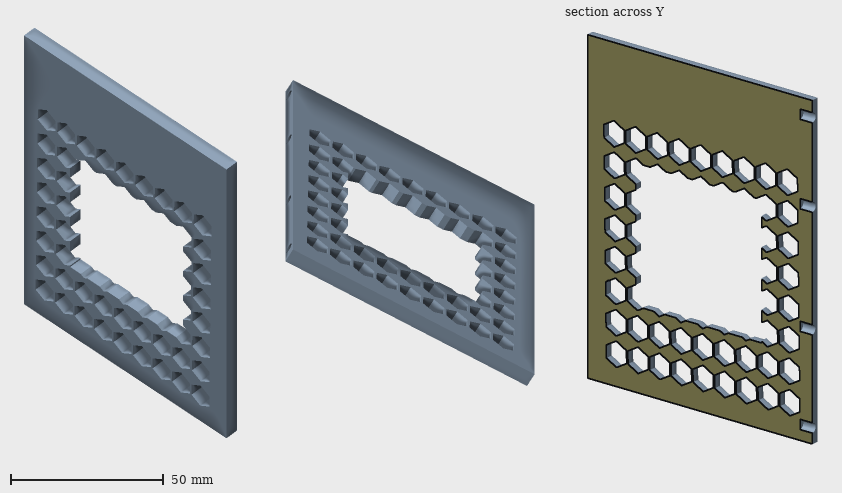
import cadquery as cq
import math

plate_width = 91.5
plate_thickness = 5.0
plate_height = 123.0

hex_sides = 6
hex_across_flats = 8.0
hex_columns = 9
hex_rows = 8
column_pitch = 8.81
row_pitch = 11.225
grid_tilt = -0.7
first_hex_x = -35.52
first_hex_z = 29.57

window_size = 51.0
window_center_x = 0.6
window_center_z = -5.0

edge_hole_diameter = 3.5
edge_hole_depth = 5.0
edge_hole_centers = (
    (0.3, 55.25),
    (0.3, 23.25),
    (0.5, -20.6),
    (0.3, -55.7),
)

cut_clearance = 1.0


def make_plate():
    return cq.Workplane("XY").box(plate_width, plate_thickness, plate_height)


def through_profile():
    """Workplane in front of the -Y face, with local axes along X and Z."""
    return cq.Workplane("XZ", origin=(0, -plate_thickness / 2 - cut_clearance, 0))


def cut_through(profile):
    """Extrude a profile from the front workplane through the whole plate."""
    return profile.extrude(-(plate_thickness + 2 * cut_clearance))


def hex_grid_cutter():
    """Hexagons with points up and down on a rectangular grid, tilted as a whole."""
    corner_radius = hex_across_flats / 2 / math.cos(math.pi / hex_sides)
    corner_angles = [(2 * corner + 1) * math.pi / hex_sides for corner in range(hex_sides)]
    corners = [
        (corner_radius * math.cos(angle), corner_radius * math.sin(angle))
        for angle in corner_angles
    ]
    profile = (
        through_profile()
        .center(first_hex_x, first_hex_z)
        .transformed(rotate=(0, 0, grid_tilt))
    )
    for row in range(hex_rows):
        for column in range(hex_columns):
            center_x = column * column_pitch
            center_z = -row * row_pitch
            outline = [(center_x + x, center_z + z) for x, z in corners]
            profile = profile.polyline(outline).close()
    return cut_through(profile)


def window_cutter():
    profile = (
        through_profile()
        .center(window_center_x, window_center_z)
        .rect(window_size, window_size)
    )
    return cut_through(profile)


def edge_hole_cutter():
    return (
        cq.Workplane("YZ", origin=(-plate_width / 2, 0, 0))
        .pushPoints(edge_hole_centers)
        .circle(edge_hole_diameter / 2)
        .extrude(edge_hole_depth)
    )


result = make_plate().cut(hex_grid_cutter()).cut(window_cutter()).cut(edge_hole_cutter())